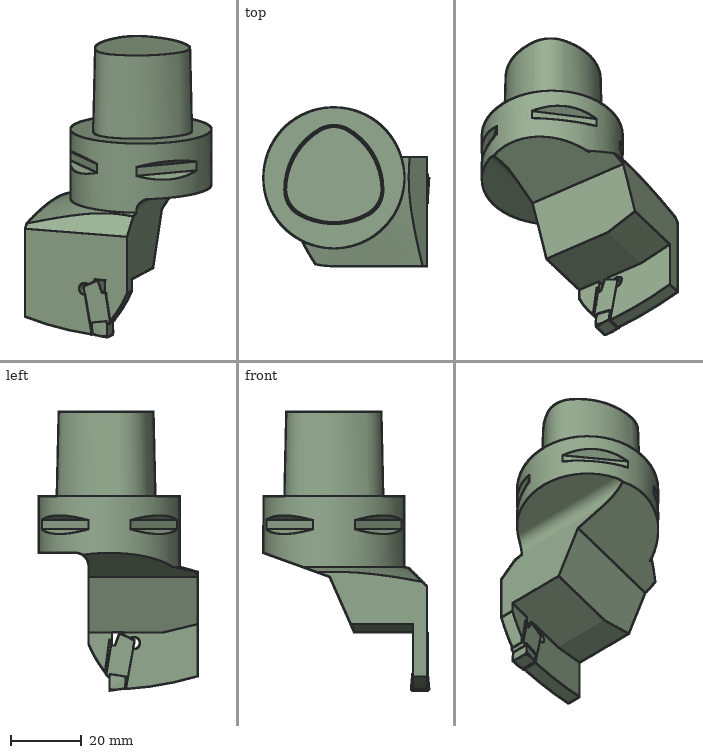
import cadquery as cq
import math

flange_radius = 20.0
flange_rim_bottom = -16.0
flange_bottom = -20.0

shank_height = 23.9
lobe_reach = 14.9
flank_reach = 13.1
lobe_radius = 8.2
shank_taper = 0.55
lobe_count = 3

notch_count = 4
notch_distance = 17.7
notch_center_z = -8.05
notch_floor_height = 2.5
notch_mouth_height = 5.3

arm_right = 26.4
arm_front = -25.05
arm_back = 5.9
arm_bottom = -38.55
arm_root_fillet = 3.6
cone_slope = 0.276
heel_x, heel_z = -1.2, -22.8
toe_x = 5.8
arm_chamfer_bottom = -25.5
underside_break_y = -15.2
arm_front_bottom = -36.2

blade_left = 22.35
blade_top = -31.6
blade_back_corner = (arm_back, -41.9)
blade_back_middle = (3.4, -46.7)
blade_tip = (0, -51.35)
blade_heel = (-4.7, -54.6)
blade_bottom_middle = (-14.6, -53.4)
blade_front_corner = (arm_front, -50.95)

insert_right = 26.7
insert_shoulder = (-0.5, -42.3)
insert_notch = (-1.6, -42.2)
insert_peak = (-2.85, -38.7)
insert_front_corner = (-7.2, -40.8)
insert_back_bottom = (0.9, -50.5)
insert_tip_end = (-4.35, -54.5)
tip_back_top = (-0.2, -50.3)
tip_front_top = (-4.7, -51.0)
tip_front_bottom = (-4.4, -54.4)
tip_edge = (0, shank_height - 79)
tip_left = 21.8
tip_right = 27.0
tip_relief = 0.3
tip_corner = 0.5
clearance_back_y = -0.8
clearance_front_y = -3.9
clearance_foot = (-4.1, -39.35)
relief_radius = 1.65
relief_center = (-6.95, -41.55)
ledge_width = 0.5
ledge_depth = 0.4
ledge_top = (0, -40.6)

depth_limit = -59.25
reach = 47.4


def plate(outline, x_start, x_end):
    """Straight-sided (Y, Z) outline extruded along X."""
    return cq.Workplane("YZ", origin=(x_start, 0, 0)).polyline(outline).close().extrude(x_end - x_start)


def polar(radius, angle):
    return radius * math.cos(math.radians(angle)), radius * math.sin(math.radians(angle))


def shank_section(workplane, shrink):
    """Three lobe arcs joined tangentially by three flank arcs."""
    lobe_center = lobe_reach - lobe_radius
    gap = flank_reach - lobe_radius
    flank_center = (lobe_center**2 - gap**2) / (2 * gap - lobe_center)
    along, across = polar(flank_center, 60)
    joint_normal = math.atan2(across, lobe_center + along)
    joint_x = lobe_center + lobe_radius * math.cos(joint_normal)
    joint_y = lobe_radius * math.sin(joint_normal)
    joint_angle = math.degrees(math.atan2(joint_y, joint_x))
    joint_reach = math.hypot(joint_x, joint_y) - shrink
    lobe_step = 360 / lobe_count

    section = workplane.moveTo(*polar(joint_reach, 90 - joint_angle))
    for index in range(lobe_count):
        lobe = 90 + index * lobe_step
        section = section.threePointArc(
            polar(lobe_reach - shrink, lobe), polar(joint_reach, lobe + joint_angle)
        )
        section = section.threePointArc(
            polar(flank_reach - shrink, lobe + lobe_step / 2),
            polar(joint_reach, lobe + lobe_step - joint_angle),
        )
    return section.close()


def make_shank():
    base = shank_section(cq.Workplane("XY"), 0)
    return shank_section(base.workplane(offset=shank_height), shank_taper).loft(ruled=True)


def make_notch(angle):
    """Trapezoidal groove across the flange rim."""
    half_floor = notch_floor_height / 2
    half_mouth = notch_mouth_height / 2
    flare = (half_mouth - half_floor) / (flange_radius - notch_distance)
    outer = flange_radius + 0.8
    half_outer = half_floor + flare * (outer - notch_distance)
    return (
        cq.Workplane("XZ")
        .polyline([
            (notch_distance, notch_center_z - half_floor),
            (outer, notch_center_z - half_outer),
            (outer, notch_center_z + half_outer),
            (notch_distance, notch_center_z + half_floor),
        ])
        .close()
        .extrude(flange_radius, both=True)
        .rotate((0, 0, 0), (0, 0, 1), angle)
    )


def make_flange():
    flange = cq.Workplane("XY").circle(flange_radius).extrude(flange_rim_bottom)
    for index in range(notch_count):
        flange = flange.cut(make_notch(45 + index * 360 / notch_count))
    return flange


def make_arm_envelope():
    """Flange cylinder opening into a cone; the left half ends at a round nose."""
    cone_bottom = flange_bottom - cone_slope * (reach - flange_radius)
    envelope = (
        cq.Workplane("XZ")
        .polyline([
            (0, flange_rim_bottom),
            (flange_radius, flange_rim_bottom),
            (flange_radius, flange_bottom),
            (reach, cone_bottom),
            (reach, depth_limit),
            (0, depth_limit),
        ])
        .close()
        .revolve(360, (0, 0, 0), (0, 1, 0))
    )
    plan = cq.Workplane("XY").circle(-arm_front).extrude(depth_limit)
    right_half = cq.Workplane("XY").center(reach / 2, 0).rect(reach, 2 * reach).extrude(depth_limit)
    plan = plan.union(right_half)
    return envelope.intersect(plan)


def make_arm():
    chamfer_run = flange_bottom - arm_chamfer_bottom
    front_profile = (
        cq.Workplane("XZ")
        .polyline([
            (-flange_radius, flange_rim_bottom),
            (heel_x, heel_z),
            (toe_x, arm_bottom),
            (arm_right, arm_bottom),
            (arm_right, arm_chamfer_bottom),
            (arm_right - chamfer_run, flange_bottom),
            (arm_right - chamfer_run, flange_rim_bottom),
        ])
        .close()
        .extrude(reach, both=True)
    )
    fillet_middle = arm_root_fillet * (1 - math.sqrt(0.5))
    side_profile = (
        cq.Workplane("YZ", origin=(-reach, 0, 0))
        .moveTo(arm_front, flange_rim_bottom)
        .lineTo(arm_front, arm_front_bottom)
        .lineTo(underside_break_y, arm_bottom)
        .lineTo(arm_back, arm_bottom)
        .lineTo(arm_back, flange_rim_bottom - arm_root_fillet)
        .threePointArc(
            (arm_back + fillet_middle, flange_rim_bottom - fillet_middle),
            (arm_back + arm_root_fillet, flange_rim_bottom),
        )
        .close()
        .extrude(2 * reach)
    )
    return side_profile.intersect(front_profile).intersect(make_arm_envelope())


def make_blade():
    return (
        cq.Workplane("YZ", origin=(blade_left, 0, 0))
        .moveTo(arm_front, blade_top)
        .lineTo(arm_back, blade_top)
        .lineTo(*blade_back_corner)
        .threePointArc(blade_back_middle, blade_tip)
        .lineTo(*blade_heel)
        .threePointArc(blade_bottom_middle, blade_front_corner)
        .close()
        .extrude(arm_right - blade_left)
    )


def make_tip():
    """Cutting tip, widest at its lower back edge; the two relief faces of each side meet on a diagonal."""
    outline = [blade_tip, tip_back_top, tip_front_top, tip_front_bottom, tip_edge]
    tip = plate(outline, tip_left, tip_right)
    front_y, top_z = tip_front_top
    taper = (
        cq.Workplane("XY")
        .polyline([
            (tip_left, 0),
            (tip_right, 0),
            (tip_right - tip_relief, front_y),
            (tip_left + tip_relief, front_y),
        ])
        .close()
        .extrude(depth_limit)
    )
    bottom = tip_edge[1]
    relief_start = bottom + tip_corner
    upper_inset = tip_relief * (tip_back_top[1] - relief_start) / (top_z - relief_start)
    lower_profile = (
        cq.Workplane("XZ")
        .polyline([
            (tip_left + upper_inset, tip_back_top[1]),
            (tip_left, relief_start),
            (tip_left + tip_corner, bottom),
            (tip_right - tip_corner, bottom),
            (tip_right, relief_start),
            (tip_right - upper_inset, tip_back_top[1]),
        ])
        .close()
        .extrude(reach, both=True)
    )
    return tip.intersect(taper).intersect(lower_profile)


def make_insert():
    """Flat insert, notched at its lower back corner to carry the tip."""
    outline = [
        insert_shoulder,
        insert_notch,
        insert_peak,
        insert_front_corner,
        blade_heel,
        insert_tip_end,
        tip_front_bottom,
        tip_front_top,
        tip_back_top,
        blade_tip,
        insert_back_bottom,
    ]
    return plate(outline, blade_left, insert_right)


def cut_pocket(holder):
    """Through slot for the insert and tip, with clearance, relief hole and side ledge."""
    seat = [
        insert_shoulder,
        insert_notch,
        insert_peak,
        insert_front_corner,
        blade_heel,
        tip_edge,
        blade_tip,
        insert_back_bottom,
    ]
    clearance = [
        (clearance_back_y, arm_bottom),
        (clearance_front_y, arm_bottom),
        clearance_foot,
        insert_peak,
        insert_notch,
        (clearance_back_y, insert_shoulder[1]),
    ]
    relief = (
        cq.Workplane("YZ", origin=(blade_left, 0, 0))
        .center(*relief_center)
        .circle(relief_radius)
        .extrude(arm_right - blade_left)
    )
    ledge = [
        insert_shoulder,
        (insert_shoulder[0], ledge_top[1]),
        ledge_top,
        (insert_back_bottom[0] + ledge_width, insert_back_bottom[1]),
        insert_back_bottom,
    ]
    holder = holder.cut(plate(seat, blade_left, arm_right))
    holder = holder.cut(plate(clearance, blade_left, arm_right))
    holder = holder.cut(relief)
    return holder.cut(plate(ledge, blade_left, blade_left + ledge_depth))


holder = make_flange().union(make_shank()).union(make_arm()).union(make_blade())
holder = cut_pocket(holder)
tip = make_tip()
insert = make_insert()

result = cq.Compound.makeCompound([holder.val(), insert.val(), tip.val()])